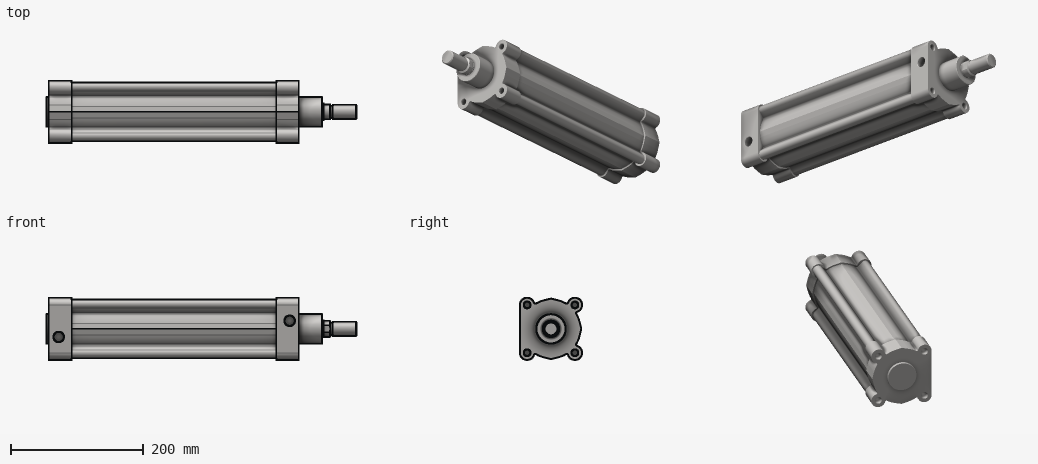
import cadquery as cq
import math


tolerance = 0.05

rear_cap_start = 3.7
rear_cap_end = 38.5
front_cap_start = 347.0
front_cap_end = 381.0
neck_end = 416.0
flats_start = 418.0
shank_end = 427.5
groove_start = 428.5
thread_start = 432.0
rod_end = 468.0

lug_offset = 36.0
cap_lug_radius = 11.0
cap_body_radius = 44.5
cap_apex = 46.0
cap_corner_radius = 2.0

tube_rib_offset = 37.0
tube_rib_radius = 7.5
tube_body_radius = 42.0
tube_apex = 43.0
tube_corner_radius = 2.5

boss_radius = 22.5
boss_chamfer = 0.7
hole_chamfer = 0.7
screw_hole_radius = 4.5
screw_hole_depth = 18.5
port_radius = 7.5
port_depth = 18.5
port_height = 12.0
rear_port_x = 18.5
front_port_x = 367.0

collar_radius = 12.5
shank_radius = 12.4
flat_half_width = 11.0
groove_radius = 9.6
thread_radius = 11.0
thread_chamfer = 1.5


def cross_section(x):
    """Workplane across the axis at x, with local X along Y and local Y along Z."""
    return cq.Workplane("YZ", origin=(x, 0, 0))


def corner_points(offset):
    return [(y, z) for y in (-offset, offset) for z in (-offset, offset)]


def ridged_barrel(start, length, radius, apex):
    """Cylinder with four shallow ridges, each made of two flats tangent to the cylinder."""
    tangent_angle = math.acos(radius / apex)
    across = radius * math.sin(tangent_angle)
    out = radius * math.cos(tangent_angle)
    barrel = cross_section(start).circle(radius).extrude(length)
    for turn in range(4):
        ridge = (
            cross_section(start)
            .polyline([(0, 0), (across, out), (0, apex), (-across, out)])
            .close()
            .extrude(length)
            .rotate((0, 0, 0), (1, 0, 0), 90 * turn)
        )
        barrel = barrel.union(ridge)
    return barrel


def turned(profile):
    """Solid turned about the X axis from (x, radius) points, starting and ending on the axis."""
    points = [(x, -radius) for x, radius in profile]
    return cq.Workplane("XY").polyline(points).close().revolve(360, (0, 0, 0), (1, 0, 0))


def round_inner_corners(body, barrel_radius, radius):
    """Round the eight lengthwise corners where the lugs or ribs run into the barrel."""

    def is_inner_corner(edge):
        center = edge.Center()
        on_barrel = abs(math.hypot(center.y, center.z) - barrel_radius) < tolerance
        off_ridges = min(abs(center.y), abs(center.z)) > lug_offset / 2
        return on_barrel and off_ridges

    edges = [edge for edge in body.edges("|X").vals() if is_inner_corner(edge)]
    return body.newObject(edges).fillet(radius)


def drilling(mouth, radius, depth):
    """Material to remove for a blind hole with a chamfered rim at the mouth workplane."""
    rim_depth = math.copysign(hole_chamfer, depth)
    shaft = mouth.circle(radius).extrude(depth)
    rim = mouth.circle(radius + hole_chamfer).workplane(offset=rim_depth).circle(radius).loft()
    return shaft.union(rim)


def end_cap(start, end, port_x, port_z):
    """Cap with four lugs, one flat side at -Y and a port in that side."""
    length = end - start
    cap = ridged_barrel(start, length, cap_body_radius, cap_apex)
    lugs = cross_section(start).pushPoints(corner_points(lug_offset)).circle(cap_lug_radius).extrude(length)
    cap = round_inner_corners(cap.union(lugs), cap_body_radius, cap_corner_radius)
    side_y = lug_offset + cap_lug_radius
    flat_side = (
        cross_section(start)
        .center(-side_y / 2, 0)
        .rect(side_y, 2 * lug_offset)
        .extrude(length)
    )
    port_mouth = cq.Workplane("XZ", origin=(port_x, -side_y, port_z))
    port = drilling(port_mouth, port_radius, -port_depth)
    return cap.union(flat_side).cut(port)


def add_screw_holes(cap, face_x, depth):
    """Drill each lug from the outer face; a negative depth runs toward -X."""
    for y, z in corner_points(lug_offset):
        mouth = cross_section(face_x).center(y, z)
        cap = cap.cut(drilling(mouth, screw_hole_radius, depth))
    return cap


def make_rear_cap():
    cap = end_cap(rear_cap_start, rear_cap_end, rear_port_x, -port_height)
    boss = turned([
        (0, 0),
        (0, boss_radius - boss_chamfer),
        (boss_chamfer, boss_radius),
        (rear_cap_start, boss_radius),
        (rear_cap_start, 0),
    ])
    return add_screw_holes(cap.union(boss), rear_cap_start, screw_hole_depth)


def make_front_cap():
    cap = end_cap(front_cap_start, front_cap_end, front_port_x, port_height)
    neck = turned([
        (front_cap_end, 0),
        (front_cap_end, boss_radius),
        (neck_end - boss_chamfer, boss_radius),
        (neck_end, boss_radius - boss_chamfer),
        (neck_end, 0),
    ])
    return add_screw_holes(cap.union(neck), front_cap_end, -screw_hole_depth)


def make_tube():
    """Barrel with a round rib at each corner, joined to it by a web as wide as the rib."""
    length = front_cap_start - rear_cap_end
    tube = ridged_barrel(rear_cap_end, length, tube_body_radius, tube_apex)
    ribs = (
        cross_section(rear_cap_end)
        .pushPoints(corner_points(tube_rib_offset))
        .circle(tube_rib_radius)
        .extrude(length)
    )
    tube = tube.union(ribs)
    for angle in (45, 135):
        web = (
            cross_section(rear_cap_end)
            .rect(2 * math.hypot(tube_rib_offset, tube_rib_offset), 2 * tube_rib_radius)
            .extrude(length)
            .rotate((0, 0, 0), (1, 0, 0), angle)
        )
        tube = tube.union(web)
    return round_inner_corners(tube, tube_body_radius, tube_corner_radius)


def make_piston_rod():
    """Rod with two wrench flats, a tapered undercut and a chamfered thread end."""
    rod = turned([
        (neck_end, 0),
        (neck_end, collar_radius),
        (flats_start, collar_radius),
        (flats_start, shank_radius),
        (shank_end, shank_radius),
        (groove_start, groove_radius),
        (thread_start, groove_radius),
        (thread_start, thread_radius),
        (rod_end - thread_chamfer, thread_radius),
        (rod_end, thread_radius - thread_chamfer),
        (rod_end, 0),
    ])
    flats_length = groove_start - flats_start
    for side in (-1, 1):
        beside_flat = (
            cross_section(flats_start)
            .center(side * (flat_half_width + shank_radius / 2), 0)
            .rect(shank_radius, 2 * shank_radius)
            .extrude(flats_length)
        )
        rod = rod.cut(beside_flat)
    return rod


rear_cap = make_rear_cap()
tube = make_tube()
front_cap = make_front_cap()
piston_rod = make_piston_rod()

result = cq.Compound.makeCompound([rear_cap.val(), tube.val(), front_cap.val(), piston_rod.val()])